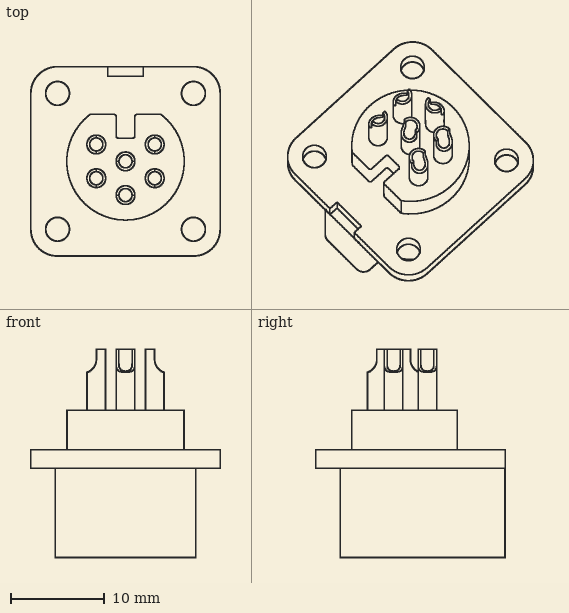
import cadquery as cq
import math

total_height = 22.2
shell_height = 9.5
flange_thickness = 2.0
boss_height = 4.2
flange_top = shell_height + flange_thickness
boss_top = flange_top + boss_height
pin_length = total_height - boss_top

flange_side = 20.2
flange_corner_radius = 2.86
mount_hole_diameter = 2.5
mount_hole_spacing = flange_side - 2 * flange_corner_radius
notch_width = 3.73
notch_depth = 1.05

shell_radius = 7.5
rib_width = 6.48
rib_end = 10.08
rib_fillet = 1.0

boss_radius = 6.25
boss_flat = 5.0
slot_width = 2.0
slot_depth = 2.5
slot_fillet = 0.2

pin_circle_radius = 3.6
pin_diameter = 2.0
pin_bore_diameter = 1.4
cup_straight = 1.1
cup_arc_radius = 1.42


def make_flange():
    blank = cq.Workplane("XY").workplane(offset=shell_height).rect(flange_side, flange_side)
    plate = blank.extrude(flange_thickness).edges("|Z").fillet(flange_corner_radius)
    plate = (
        plate.faces(">Z").workplane(origin=(0, 0, flange_top))
        .rect(mount_hole_spacing, mount_hole_spacing, forConstruction=True)
        .vertices().hole(mount_hole_diameter)
    )
    notch = (
        cq.Workplane("XY").workplane(offset=shell_height)
        .center(0, flange_side / 2)
        .rect(notch_width, 2 * notch_depth)
        .extrude(flange_thickness)
    )
    return plate.cut(notch)


def make_shell():
    cylinder = cq.Workplane("XY").circle(shell_radius).extrude(shell_height)
    rib = (
        cq.Workplane("XY").center(0, rib_end / 2)
        .rect(rib_width, rib_end)
        .extrude(shell_height)
        .edges("|Z and >Y").fillet(rib_fillet)
    )
    corner_x = rib_width / 2
    corner_y = math.sqrt(shell_radius**2 - corner_x**2)
    shell = cylinder.union(rib)
    for x in (-corner_x, corner_x):
        corner = cq.selectors.NearestToPointSelector((x, corner_y, shell_height / 2))
        shell = shell.edges("|Z").edges(corner).fillet(rib_fillet)
    return shell


def make_boss():
    base = cq.Workplane("XY").workplane(offset=flange_top)
    boss = base.circle(boss_radius).extrude(boss_height)
    beyond_flat = boss_radius - boss_flat
    flat_cut = (
        base.center(0, boss_flat + beyond_flat / 2)
        .rect(2 * boss_radius, beyond_flat)
        .extrude(boss_height)
    )
    slot = (
        base.center(0, boss_flat - slot_depth / 2)
        .rect(slot_width, slot_depth)
        .extrude(boss_height)
    )
    boss = boss.cut(flat_cut).cut(slot)
    slot_floor_y = boss_flat - slot_depth
    for x in (-slot_width / 2, slot_width / 2):
        for y in (slot_floor_y, boss_flat):
            corner = cq.selectors.NearestToPointSelector((x, y, flange_top + boss_height / 2))
            boss = boss.edges("|Z").edges(corner).fillet(slot_fillet)
    return boss


def make_pin(x, y, opening_angle):
    """Hollow pin at (x, y) whose cut-away half faces opening_angle, measured from +X."""
    pin = (
        cq.Workplane("XY").workplane(offset=boss_top)
        .circle(pin_diameter / 2)
        .circle(pin_bore_diameter / 2)
        .extrude(pin_length)
    )
    arc_centre_z = total_height - cup_straight
    arc_45 = cup_arc_radius * math.sqrt(0.5)
    cup = (
        cq.Workplane("XZ").moveTo(0, total_height)
        .lineTo(0, arc_centre_z)
        .threePointArc(
            (cup_arc_radius - arc_45, arc_centre_z - arc_45),
            (cup_arc_radius, arc_centre_z - cup_arc_radius),
        )
        .lineTo(cup_arc_radius, total_height)
        .close()
        .extrude(pin_diameter / 2, both=True)
    )
    return pin.cut(cup).rotate((0, 0, 0), (0, 0, 1), opening_angle).translate((x, y, 0))


outer_pins = [(30, 0), (150, 180), (210, 180), (270, 270), (330, 0)]

result = make_shell().union(make_flange()).union(make_boss())
result = result.union(make_pin(0, 0, 90))
for place_angle, opening_angle in outer_pins:
    pin_x = pin_circle_radius * math.cos(math.radians(place_angle))
    pin_y = pin_circle_radius * math.sin(math.radians(place_angle))
    result = result.union(make_pin(pin_x, pin_y, opening_angle))